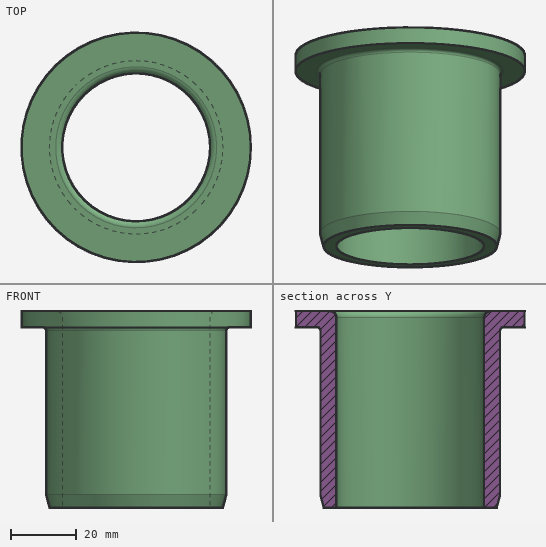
import cadquery as cq
import math

flange_diameter = 70.0
body_diameter = 55.0
bore_diameter = 45.0
total_height = 60.0
flange_thickness = 5.0
bore_mouth_radius = 2.0
neck_fillet_radius = 1.0
lead_in_height = 4.0
lead_in_angle = 15.0

flange_bottom = total_height - flange_thickness
lead_in_depth = lead_in_height * math.tan(math.radians(lead_in_angle))

flange_radius = flange_diameter / 2
body_radius = body_diameter / 2
bore_radius = bore_diameter / 2


def upper_inner_arc_middle(center_radius, center_height, arc_radius):
    """Middle of the quarter arc that faces up and toward the bushing axis."""
    reach = arc_radius * math.sqrt(0.5)
    return (center_radius - reach, center_height + reach)


neck_center_radius = body_radius + neck_fillet_radius
neck_center_height = flange_bottom - neck_fillet_radius
mouth_center_radius = bore_radius + bore_mouth_radius
mouth_center_height = total_height - bore_mouth_radius

neck_middle = upper_inner_arc_middle(neck_center_radius, neck_center_height, neck_fillet_radius)
mouth_middle = upper_inner_arc_middle(mouth_center_radius, mouth_center_height, bore_mouth_radius)

half_section = (
    cq.Workplane("XZ")
    .moveTo(bore_radius, 0)
    .lineTo(body_radius - lead_in_depth, 0)
    .lineTo(body_radius, lead_in_height)
    .lineTo(body_radius, neck_center_height)
    .threePointArc(neck_middle, (neck_center_radius, flange_bottom))
    .lineTo(flange_radius, flange_bottom)
    .lineTo(flange_radius, total_height)
    .lineTo(mouth_center_radius, total_height)
    .threePointArc(mouth_middle, (bore_radius, mouth_center_height))
    .close()
)
result = half_section.revolve(360, (0, 0, 0), (0, 1, 0))